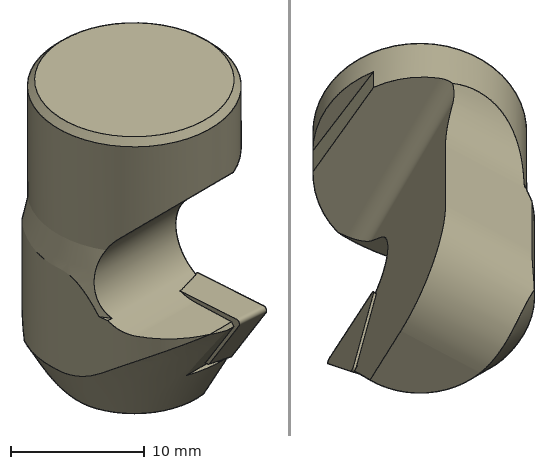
import cadquery as cq
import math

HEIGHT = 25.95
SHANK_DIAMETER = 16.0
SHANK_RADIUS = SHANK_DIAMETER / 2
TOP_CHAMFER = 0.55
REACH = 31.13

FORWARD_OFFSET = 0.7
JAW_FLAT = 4.15

NECK_TOP = 15.75
NECK_BOTTOM = 10.7
NECK_SPREAD = 1.48

NOSE_RADIUS = 6.48
NOSE_SLOPE = 0.55

SIDE_X = -5.7
SIDE_TOP = 15.3
SIDE_BOTTOM = 7.2
RELIEF_TOP = 20.85
RELIEF_DEPTH = SHANK_RADIUS + SIDE_X
RELIEF_RADIUS = (RELIEF_DEPTH**2 + (RELIEF_TOP - SIDE_TOP)**2) / (2 * RELIEF_DEPTH)

TURN = -5.0
BACK_V = 0.85
SHOULDER_Z = 20.23
SHOULDER_TILT = 5.0
SHOULDER_FILLET = 1.4
NOTCH_Y = 6.8
NOTCH_TOP = 22.75

GULLET_RADIUS = 4.02
GULLET_U = 7.55
GULLET_Z = 14.05
FLOOR_RISE = 1.5

TIP_U = 13.1
TIP_Z = 10.95
INSERT_EDGE = 7.95
INSERT_CORNER_ANGLE = 55.0
INSERT_ANGLE = 3.0
INSERT_BACK_V = 1.1
INSERT_THICKNESS = 2.39
INSERT_CORNER = 0.3
INSERT_TAPER = 6.5

CLEARANCE_U = 11.72
CLEARANCE_TOP = 9.8
CLEARANCE_BOTTOM = 4.67
BLUNT_WIDTH = 0.25
BLUNT_HEIGHT = 0.4


def turned(work):
    """Turn a shape about the shank axis into the cutting frame."""
    return work.rotate((0, 0, 0), (0, 0, 1), TURN)


def make_shank():
    """Chamfered cylinder with a core running down through the jaw."""
    cylinder = (
        cq.Workplane("XY").workplane(offset=NECK_TOP)
        .circle(SHANK_RADIUS).extrude(HEIGHT - NECK_TOP)
        .faces(">Z").chamfer(TOP_CHAMFER)
    )
    core = cq.Workplane("XY").circle(SHANK_RADIUS).extrude(NECK_TOP)
    return cylinder.union(core)


def cone(bottom_radius, top_radius, bottom_z, height):
    """Cone frustum on the shank axis."""
    return cq.Workplane(cq.Solid.makeCone(
        bottom_radius, top_radius, height, pnt=cq.Vector(0, 0, bottom_z)))


def make_jaw():
    """Round-ended jaw, under the neck cone."""
    jaw = (
        cq.Workplane("XY").center(JAW_FLAT / 2, -FORWARD_OFFSET)
        .slot2D(JAW_FLAT + 2 * SHANK_RADIUS, 2 * SHANK_RADIUS).extrude(NECK_TOP)
    )
    neck = cone(SHANK_RADIUS + NECK_SPREAD, SHANK_RADIUS, NECK_BOTTOM, NECK_TOP - NECK_BOTTOM)
    below_neck = cq.Workplane("XY").rect(2 * REACH, 2 * REACH).extrude(NECK_BOTTOM)
    return jaw.intersect(neck.union(below_neck))


def nose_limit():
    """Cone that tapers the lower end of the body."""
    return cone(NOSE_RADIUS, NOSE_RADIUS + NOSE_SLOPE * HEIGHT, 0, HEIGHT)


def side_limit():
    """Everything on the body side of the -X relief and the rounded lower corner."""
    half = math.sqrt(0.5) * SIDE_BOTTOM
    corner_x = SIDE_X + SIDE_BOTTOM
    relief_center_x = SIDE_X - RELIEF_RADIUS
    relief_mid = math.asin((RELIEF_TOP - SIDE_TOP) / RELIEF_RADIUS) / 2
    return (
        cq.Workplane("XZ").workplane(offset=-REACH)
        .moveTo(corner_x, 0)
        .threePointArc((corner_x - half, SIDE_BOTTOM - half), (SIDE_X, SIDE_BOTTOM))
        .lineTo(SIDE_X, SIDE_TOP)
        .threePointArc(
            (relief_center_x + RELIEF_RADIUS * math.cos(relief_mid),
             SIDE_TOP + RELIEF_RADIUS * math.sin(relief_mid)),
            (-SHANK_RADIUS, RELIEF_TOP))
        .lineTo(-REACH, RELIEF_TOP)
        .lineTo(-REACH, HEIGHT)
        .lineTo(REACH, HEIGHT)
        .lineTo(REACH, 0)
        .close()
        .extrude(2 * REACH)
    )


def back_cut():
    """Open space behind the jaw, with a tilted shoulder and a filleted inner corner."""
    block = (
        cq.Workplane("XY").box(2 * REACH, REACH, REACH, centered=(True, False, False))
        .translate((0, BACK_V, -REACH))
        .edges("|X and >Z and <Y").fillet(SHOULDER_FILLET)
        .rotate((0, 0, 0), (0, 1, 0), SHOULDER_TILT)
        .translate((0, 0, SHOULDER_Z))
    )
    return turned(block)


def back_notch():
    """Step that removes the rearmost strip of the shank."""
    return (
        cq.Workplane("XY")
        .box(2 * REACH, REACH, NOTCH_TOP, centered=(True, False, False))
        .translate((0, NOTCH_Y, 0))
    )


def gullet_cut():
    """Chip space: 45 degree upper side, round root and nearly level floor."""
    half = math.sqrt(0.5) * GULLET_RADIUS
    rise = math.radians(FLOOR_RISE)
    floor_u = GULLET_U + GULLET_RADIUS * math.sin(rise)
    floor_z = GULLET_Z - GULLET_RADIUS * math.cos(rise)
    cut = (
        cq.Workplane("XZ").workplane(offset=-REACH)
        .moveTo(GULLET_U - half, GULLET_Z + half)
        .threePointArc((GULLET_U - GULLET_RADIUS, GULLET_Z), (floor_u, floor_z))
        .lineTo(REACH, floor_z + (REACH - floor_u) * math.tan(rise))
        .lineTo(REACH, GULLET_Z + half + REACH - (GULLET_U - half))
        .close()
        .extrude(2 * REACH)
    )
    return turned(cut)


def flank_cut():
    """Clearance along the jaw tip that leaves the insert flank standing proud."""
    run = (CLEARANCE_TOP - CLEARANCE_BOTTOM) / math.tan(math.radians(INSERT_ANGLE + INSERT_CORNER_ANGLE))
    cut = (
        cq.Workplane("XZ").workplane(offset=-REACH)
        .moveTo(CLEARANCE_U - run, CLEARANCE_BOTTOM)
        .lineTo(CLEARANCE_U, CLEARANCE_TOP)
        .lineTo(CLEARANCE_U - BLUNT_WIDTH, CLEARANCE_TOP + BLUNT_HEIGHT)
        .lineTo(CLEARANCE_U - BLUNT_WIDTH, GULLET_Z)
        .lineTo(REACH, GULLET_Z)
        .lineTo(REACH, CLEARANCE_BOTTOM)
        .close()
        .extrude(2 * REACH)
    )
    return turned(cut)


def make_insert():
    """Triangular cutting insert whose sides taper towards its front face."""
    top_edge = math.radians(180 + INSERT_ANGLE)
    flank = top_edge + math.radians(INSERT_CORNER_ANGLE)
    plate = (
        cq.Workplane("XZ").workplane(offset=-INSERT_BACK_V)
        .moveTo(TIP_U, TIP_Z)
        .lineTo(TIP_U + INSERT_EDGE * math.cos(top_edge), TIP_Z + INSERT_EDGE * math.sin(top_edge))
        .lineTo(TIP_U + INSERT_EDGE * math.cos(flank), TIP_Z + INSERT_EDGE * math.sin(flank))
        .close()
        .extrude(INSERT_THICKNESS, taper=INSERT_TAPER)
    )
    plate = plate.edges("not(<Y or >Y)").fillet(INSERT_CORNER)
    return turned(plate)


def make_holder(insert):
    body = make_shank().union(make_jaw())
    body = body.intersect(nose_limit()).intersect(side_limit())
    body = body.cut(back_cut()).cut(back_notch()).cut(gullet_cut()).cut(flank_cut())
    return body.cut(insert)


insert = make_insert()
holder = make_holder(insert)

result = cq.Compound.makeCompound([holder.val(), insert.val()])